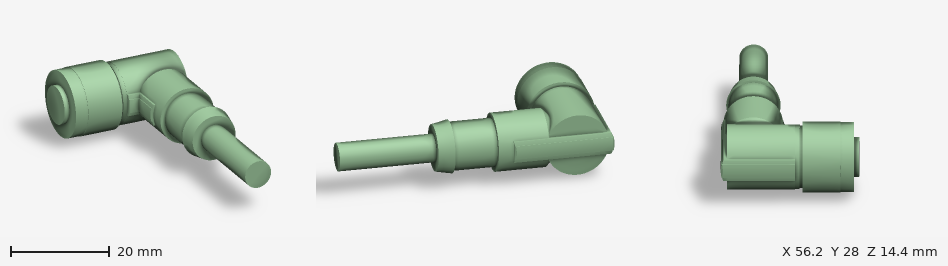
import cadquery as cq


body_radius = 6.6
body_back = 5.3
body_front = -8.5
neck_radius = 6.5
neck_front = -9.45
groove_radius = 6.3
plug_radius = 7.2
plug_back = -10.0
plug_step = -17.65
tip_radius = 7.1
tip_front = -20.4
pin_radius = 4.05
plug_end = -21.5

housing_radius = 6.0
housing_start = 6.0
housing_end = 16.5
sleeve_radius = 5.0
sleeve_end = 25.35
collar_radius = 5.5
collar_end_radius = 4.85
collar_end = 28.75
cable_radius = 2.9
cable_end = 48.75

plug_rib_radius = 7.5
cable_rib_radius = 6.5
rib_crown_half_width = 1.45
rib_half_width = 2.3
rib_end = 13.35
rib_corner_chamfer = 0.45
plug_rib_shoulder_radius = 7.25
cable_rib_shoulder_radius = 6.4


def make_plug():
    """Stepped round body, turned about the Y axis."""
    profile = [
        (0, body_back),
        (body_radius, body_back),
        (body_radius, body_front),
        (neck_radius, body_front),
        (neck_radius, neck_front),
        (groove_radius, neck_front),
        (groove_radius, plug_back),
        (plug_radius, plug_back),
        (plug_radius, plug_step),
        (tip_radius, plug_step),
        (tip_radius, tip_front),
        (pin_radius, tip_front),
        (pin_radius, plug_end),
        (0, plug_end),
    ]
    return cq.Workplane("XY").polyline(profile).close().revolve(360, (0, 0, 0), (0, 1, 0))


def make_cable_side():
    """Housing with a 45 degree cone at its root, sleeve, collar and cable, turned about the X axis."""
    profile = [
        (housing_start - housing_radius, 0),
        (housing_start, housing_radius),
        (housing_end, housing_radius),
        (housing_end, sleeve_radius),
        (sleeve_end, sleeve_radius),
        (sleeve_end, collar_radius),
        (collar_end, collar_end_radius),
        (collar_end, cable_radius),
        (cable_end, cable_radius),
        (cable_end, 0),
    ]
    return cq.Workplane("XY").polyline(profile).close().revolve(360, (0, 0, 0), (1, 0, 0))


def round_edged_bar(plane, radius, half_width, length):
    """Bar centred on an axis: a disc section cut down to flats at +/- half_width in Z."""
    edge = (radius**2 - half_width**2) ** 0.5
    return (
        cq.Workplane(plane)
        .moveTo(-edge, half_width)
        .lineTo(edge, half_width)
        .threePointArc((radius, 0), (edge, -half_width))
        .lineTo(-edge, -half_width)
        .threePointArc((-radius, 0), (-edge, half_width))
        .close()
        .extrude(length)
    )


def rib_bar(plane, crown_radius, shoulder_radius, length):
    """Two opposite ribs joined through the axis: a narrow raised crown on a wider shoulder."""
    shoulder = round_edged_bar(plane, shoulder_radius, rib_half_width, length)
    crown = round_edged_bar(plane, crown_radius, rib_crown_half_width, length)
    return shoulder.union(crown)


def make_ribs():
    """Ribs beside the plug axis and the cable axis, mitred where they meet at the elbow."""
    plug_ribs = rib_bar("XZ", plug_rib_radius, plug_rib_shoulder_radius, -body_front)
    cable_ribs = rib_bar("YZ", cable_rib_radius, cable_rib_shoulder_radius, rib_end)
    elbow_along_y = rib_bar("XZ", plug_rib_radius, plug_rib_shoulder_radius, -cable_rib_radius)
    elbow_along_x = rib_bar("YZ", cable_rib_radius, cable_rib_shoulder_radius, -plug_rib_radius)
    elbow = elbow_along_y.intersect(elbow_along_x)
    ribs = elbow.union(plug_ribs).union(cable_ribs)

    corners = [
        (-plug_rib_radius, cable_rib_radius),
        (rib_end, cable_rib_radius),
        (rib_end, -cable_rib_radius),
    ]
    diamond = [
        (-rib_corner_chamfer, 0),
        (0, rib_corner_chamfer),
        (rib_corner_chamfer, 0),
        (0, -rib_corner_chamfer),
    ]
    for x, y in corners:
        trim = (
            cq.Workplane("XY")
            .center(x, y)
            .polyline(diamond)
            .close()
            .extrude(rib_half_width, both=True)
        )
        ribs = ribs.cut(trim)
    return ribs


result = make_plug().union(make_cable_side()).union(make_ribs())